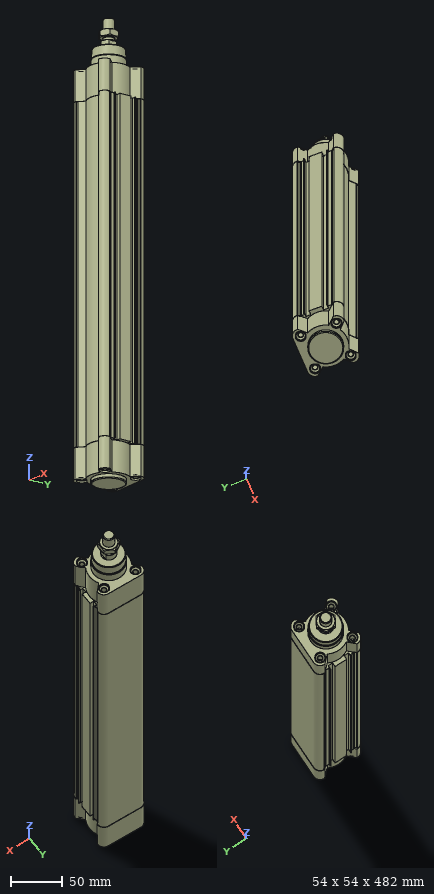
import cadquery as cq
import math


TOTAL_HEIGHT = 482.0
WIDTH = 54.0
HALF = WIDTH / 2

BOTTOM_COLLAR_HEIGHT = 4.5
CAP_HEIGHT = 33.3
TOP_CAP_TOP = 429.5
TUBE_BOTTOM = BOTTOM_COLLAR_HEIGHT + CAP_HEIGHT
TUBE_TOP = TOP_CAP_TOP - CAP_HEIGHT
COLLAR_STEP = 440.0
COLLAR_TOP = 450.5

COLLAR_DIAMETER = 35.0
CONE_BASE_DIAMETER = 34.0
CONE_TOP_DIAMETER = 33.3
CONE_CHAMFER = 0.7
COLLAR_CHAMFER = 1.0

HOLE_PITCH = 37.5
CORNER_CENTRE = 19.5
LOBE_FLAT_END = 19.0
BULGE_REACH = 22.5
BULGE_RADIUS = 22.5
BULGE_HALF_WIDTH = 11.0
BULGE_EDGE = BULGE_REACH - BULGE_RADIUS + math.sqrt(BULGE_RADIUS**2 - BULGE_HALF_WIDTH**2)

TUBE_INSET = 0.25
GROOVE_INNER = 16.0
GROOVE_DEPTH = 2.0
RAIL_HALF_WIDTH = 6.7
LIP_INNER = 11.8
LIP_OUTER = 12.5
SIDE_FLOOR = 22.5

COUNTERBORE_DIAMETER = 10.5
COUNTERBORE_DEPTH = 2.0
COUNTERSINK_DIAMETER = 9.0
COUNTERSINK_END_DIAMETER = 6.0
HOLE_DIAMETER = 5.0
COUNTERSINK_DEPTH = (COUNTERSINK_DIAMETER - COUNTERSINK_END_DIAMETER) / 2
HOLE_DEPTH = 16.0

ROD_DIAMETER = 16.0
ROD_FLATS = 13.0
ROD_SHOULDER = 458.5
RELIEF_DIAMETER = 10.5
RELIEF_TOP = 459.3
NECK_DIAMETER = 11.5
THREAD_BOTTOM = 461.5
THREAD_DIAMETER = 12.0
THREAD_CHAMFER = 1.0
ROD_BOTTOM = TUBE_TOP

NUT_BOTTOM = 462.0
NUT_HEIGHT = 7.0
NUT_FLATS = 19.0
NUT_CORNERS = NUT_FLATS / math.cos(math.radians(30))
NUT_FACE_DIAMETER = 18.0
NUT_CHAMFER_ANGLE = math.radians(30)


def cylinder(diameter, bottom, top):
    return cq.Workplane("XY").workplane(offset=bottom).circle(diameter / 2).extrude(top - bottom)


def cone(base_diameter, top_diameter, bottom, top):
    return cq.Workplane("XY").add(
        cq.Solid.makeCone(base_diameter / 2, top_diameter / 2, top - bottom, cq.Vector(0, 0, bottom))
    )


def box(x_min, x_max, y_min, y_max, bottom, top):
    return cq.Workplane("XY").box(
        x_max - x_min, y_max - y_min, top - bottom, centered=False
    ).translate((x_min, y_min, bottom))


def side_box(side, near, far, y_min, y_max):
    """Full-length box on the -X (side = -1) or +X (side = 1) side of the tube."""
    x_min, x_max = sorted((side * near, side * far))
    return box(x_min, x_max, y_min, y_max, TUBE_BOTTOM, TUBE_TOP)


def profile(inset, bottom, top):
    """Prism with a flat +Y side, bulged -X, -Y and +X sides and rounded corner lobes."""
    outer = HALF - inset
    reach = BULGE_REACH - inset
    edge = BULGE_EDGE - inset
    diagonal = CORNER_CENTRE + (outer - CORNER_CENTRE) * math.sqrt(0.5)

    outline = cq.Workplane("XY").workplane(offset=bottom).moveTo(-CORNER_CENTRE, outer)
    outline = outline.threePointArc((-diagonal, diagonal), (-outer, CORNER_CENTRE))
    for turn in range(3):
        angle = math.radians(90 * turn)

        def point(along, out):
            """Point on the current side: -X first, then -Y, then +X."""
            x, y = -out, -along
            return (
                x * math.cos(angle) - y * math.sin(angle),
                x * math.sin(angle) + y * math.cos(angle),
            )

        outline = (
            outline.lineTo(*point(-LOBE_FLAT_END, outer))
            .lineTo(*point(-BULGE_HALF_WIDTH, edge))
            .threePointArc(point(0, reach), point(BULGE_HALF_WIDTH, edge))
            .lineTo(*point(LOBE_FLAT_END, outer))
            .lineTo(*point(CORNER_CENTRE, outer))
            .threePointArc(point(diagonal, diagonal), point(outer, CORNER_CENTRE))
        )
    return outline.close().extrude(top - bottom)


def make_tube():
    tube = profile(TUBE_INSET, TUBE_BOTTOM, TUBE_TOP)
    groove_floor = HALF - GROOVE_DEPTH

    for side in (-1, 1):
        tube = tube.union(side_box(side, 0, SIDE_FLOOR, -GROOVE_INNER, GROOVE_INNER))
        tube = tube.union(side_box(side, 0, HALF, -RAIL_HALF_WIDTH, RAIL_HALF_WIDTH))
        for end in (-1, 1):
            lip = sorted((end * LIP_INNER, end * LIP_OUTER))
            ledge = sorted((end * LIP_INNER, end * GROOVE_INNER))
            groove = sorted((end * GROOVE_INNER, end * CORNER_CENTRE))
            tube = tube.union(side_box(side, 0, HALF, *lip))
            tube = tube.union(side_box(side, 0, groove_floor, *ledge))
            tube = tube.cut(side_box(side, groove_floor, HALF, *groove))

        groove = sorted((side * GROOVE_INNER, side * CORNER_CENTRE))
        tube = tube.cut(box(*groove, -HALF, -groove_floor, TUBE_BOTTOM, TUBE_TOP))
    return tube


def fixing_hole_cutters():
    """Counterbored and countersunk holes in the four corners of the top cap."""
    counterbore_floor = TOP_CAP_TOP - COUNTERBORE_DEPTH
    hole = (
        cylinder(COUNTERBORE_DIAMETER, counterbore_floor, TOP_CAP_TOP)
        .union(cone(
            COUNTERSINK_END_DIAMETER, COUNTERSINK_DIAMETER,
            counterbore_floor - COUNTERSINK_DEPTH, counterbore_floor,
        ))
        .union(cylinder(HOLE_DIAMETER, TOP_CAP_TOP - HOLE_DEPTH, counterbore_floor))
    )
    offsets = (-HOLE_PITCH / 2, HOLE_PITCH / 2)
    return [hole.translate((x, y, 0)) for x in offsets for y in offsets]


def make_housing():
    bottom_cap = profile(0, BOTTOM_COLLAR_HEIGHT, TUBE_BOTTOM)
    top_cap = profile(0, TUBE_TOP, TOP_CAP_TOP)
    bottom_collar = cylinder(COLLAR_DIAMETER, 0, BOTTOM_COLLAR_HEIGHT).faces("<Z").chamfer(COLLAR_CHAMFER)
    lower_collar = cylinder(COLLAR_DIAMETER, TOP_CAP_TOP, COLLAR_STEP).faces(">Z").chamfer(COLLAR_CHAMFER)
    upper_collar = cone(CONE_BASE_DIAMETER, CONE_TOP_DIAMETER, COLLAR_STEP, COLLAR_TOP)
    upper_collar = upper_collar.faces(">Z").chamfer(CONE_CHAMFER)
    housing = make_tube()
    for section in (bottom_cap, top_cap, bottom_collar, lower_collar, upper_collar):
        housing = housing.union(section)

    top_holes = fixing_hole_cutters()
    bottom_holes = [
        cutter.mirror("XY").translate((0, 0, BOTTOM_COLLAR_HEIGHT + TOP_CAP_TOP)) for cutter in top_holes
    ]
    for cutter in top_holes + bottom_holes:
        housing = housing.cut(cutter)

    return housing.cut(cylinder(ROD_DIAMETER, ROD_BOTTOM, COLLAR_TOP))


def make_rod():
    shaft = cylinder(ROD_DIAMETER, ROD_BOTTOM, COLLAR_TOP)
    flats = cylinder(ROD_DIAMETER, COLLAR_TOP, ROD_SHOULDER).intersect(
        box(-ROD_FLATS / 2, ROD_FLATS / 2, -ROD_DIAMETER, ROD_DIAMETER, COLLAR_TOP, ROD_SHOULDER)
    )
    relief = cylinder(RELIEF_DIAMETER, ROD_SHOULDER, RELIEF_TOP)
    neck = cylinder(NECK_DIAMETER, RELIEF_TOP, THREAD_BOTTOM)
    thread = cylinder(THREAD_DIAMETER, THREAD_BOTTOM, TOTAL_HEIGHT).faces(">Z").chamfer(THREAD_CHAMFER)
    return shaft.union(flats).union(relief).union(neck).union(thread)


def make_nut():
    hexagon = (
        cq.Workplane("XY").workplane(offset=NUT_BOTTOM)
        .polygon(6, NUT_CORNERS).extrude(NUT_HEIGHT)
        .rotate((0, 0, 0), (0, 0, 1), 30)
    )
    run = (NUT_CORNERS - NUT_FACE_DIAMETER) / 2
    rise = run * math.tan(NUT_CHAMFER_ANGLE)
    rounded = cylinder(NUT_CORNERS, NUT_BOTTOM, NUT_BOTTOM + NUT_HEIGHT)
    rounded = rounded.faces("<Z or >Z").chamfer(rise, run)
    bore = cylinder(THREAD_DIAMETER, NUT_BOTTOM, NUT_BOTTOM + NUT_HEIGHT)
    return hexagon.intersect(rounded).cut(bore)


housing = make_housing()
rod = make_rod()
nut = make_nut()

result = cq.Compound.makeCompound([housing.val(), rod.val(), nut.val()])